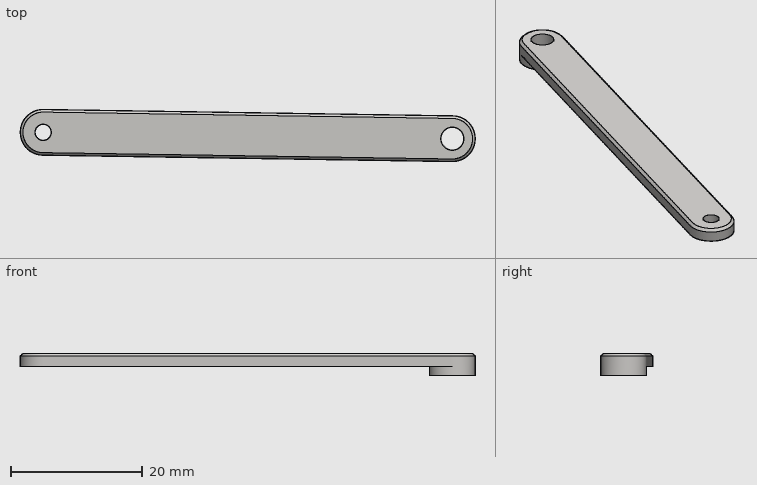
import cadquery as cq
import math

overall_length = 69.4
end_diameter = 7.0
end_drop = 1.0
bar_thickness = 2.0
boss_height = 1.4
top_chamfer = 0.4
small_hole_diameter = 2.4
large_hole_diameter = 3.5

span_x = overall_length - end_diameter
centre_distance = math.hypot(span_x, end_drop)
tilt = math.degrees(math.atan2(-end_drop, span_x))
boss_centre = (0, 0)
plain_centre = (-span_x, end_drop)
bar_middle = (-span_x / 2, end_drop / 2)


def make_bar():
    """Round-ended bar with its upper rim chamfered."""
    return (
        cq.Workplane("XY")
        .center(*bar_middle)
        .slot2D(centre_distance + end_diameter, end_diameter, tilt)
        .extrude(bar_thickness)
        .faces(">Z")
        .edges()
        .chamfer(top_chamfer)
    )


def make_boss():
    """Round boss below one end, flush with the end of the bar."""
    return cq.Workplane("XY").center(*boss_centre).circle(end_diameter / 2).extrude(-boss_height)


def make_hole(centre, diameter):
    """Cutter passing through the bar and the boss."""
    return (
        cq.Workplane("XY", origin=(0, 0, -boss_height))
        .center(*centre)
        .circle(diameter / 2)
        .extrude(boss_height + bar_thickness)
    )


result = make_bar().union(make_boss())
result = result.cut(make_hole(plain_centre, small_hole_diameter))
result = result.cut(make_hole(boss_centre, large_hole_diameter))